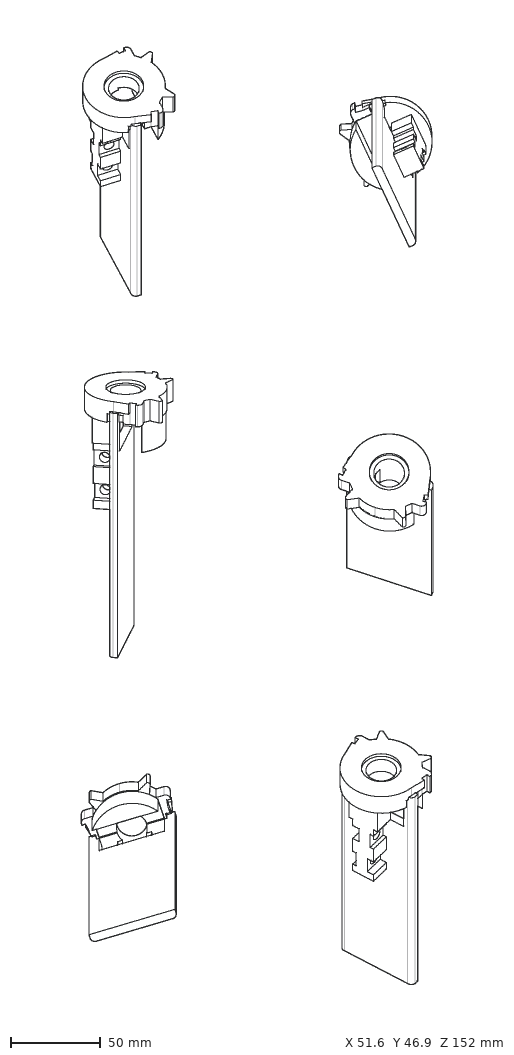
import cadquery as cq
import math

total_height = 152.0
cap_thickness = 12.9
cap_bottom = total_height - cap_thickness
plate_top = 145.9
window_bottom = 121.1
overlap = 1.5

cap_radius = 23.1
cap_front = -23.0
wall_x = 23.1
front_arc_mid_angle = -45.0
front_arc_end_angle = -7.0
lip_tip = (25.1, 6.2)
lip_end_y = 6.7
hook_root = (23.7, 10.6)
hook_x = 25.8
hook_front = 10.3
hook_side_end = 11.5
hook_round_mid = (25.1, 13.0)
hook_back = 13.8
hook_round_end_x = 23.1
shoulder_x = 18.4
ear_outer_root = (15.7, 16.7)
ear_tip_start = (17.8, 22.2)
ear_tip_mid = (17.3, 23.4)
ear_tip_end = (16.3, 23.9)
ear_inner_root = (10.3, 20.7)
rear_arc_mid = (5.3, 22.5)
bore_diameter = 17.0
counterbore_diameter = 22.0
counterbore_depth = 2.0

plate_half_width = 25.1
plate_flat_half_width = 21.7
plate_back = 0.2
plate_front = -4.9
plate_round_start = -2.5
plate_round_mid = (24.0, -4.3)
relief_inner = 20.5
relief_clearance = 1.5
relief_back = 2.9
relief_height = 5.2
underside_recess_depth = 1.7

block_half_width = 9.9
stem_half_width = 7.1
block_front = -17.0
stem_bottom = 81.0
deep_notch = 4.3
shallow_notch = 2.3
notch_height = 10.0
upper_notch_center = 111.1
lower_notch_center = 91.0
bolt_diameter = 6.0
window_half_width = 19.0
leg_half_width = 19.2
leg_front = 12.6
leg_back = 22.5


def box(x_min, x_max, y_min, y_max, z_min, z_max):
    """Return an axis-aligned box between the given limits."""
    size = (x_max - x_min, y_max - y_min, z_max - z_min)
    return cq.Workplane("XY").box(*size, centered=False).translate((x_min, y_min, z_min))


def both_sides(shape):
    """Join a shape with its mirror image across the YZ plane."""
    return shape.union(shape.mirror("YZ"))


def make_cap():
    """Round cap with rear ears, side hooks and lips above the plate edges."""
    arc_center_y = cap_front + cap_radius

    def front_arc_point(angle):
        radians = math.radians(angle)
        return (cap_radius * math.cos(radians), arc_center_y + cap_radius * math.sin(radians))

    flank_start = front_arc_point(front_arc_end_angle)
    half = (
        cq.Workplane("XY", origin=(0, 0, cap_bottom))
        .moveTo(0, plate_back)
        .lineTo(0, cap_front)
        .threePointArc(front_arc_point(front_arc_mid_angle), flank_start)
        .lineTo(*lip_tip)
        .lineTo(wall_x, lip_end_y)
        .lineTo(*hook_root)
        .lineTo(hook_x, hook_front)
        .lineTo(hook_x, hook_side_end)
        .threePointArc(hook_round_mid, (hook_round_end_x, hook_back))
        .lineTo(shoulder_x, hook_back)
        .lineTo(*ear_outer_root)
        .lineTo(*ear_tip_start)
        .threePointArc(ear_tip_mid, ear_tip_end)
        .lineTo(*ear_inner_root)
        .threePointArc(rear_arc_mid, (0, cap_radius))
        .close()
        .extrude(cap_thickness)
    )
    under_lip = box(wall_x, plate_half_width + overlap, flank_start[1], lip_end_y,
                    cap_bottom, plate_top)
    relief = box(relief_inner, plate_half_width + overlap,
                 plate_front - relief_clearance, relief_back,
                 cap_bottom, cap_bottom + relief_height)
    return both_sides(half.cut(under_lip).cut(relief))


def make_plate():
    """Long plate with rounded front edges and a window below the cap."""
    plate = both_sides(
        cq.Workplane("XY")
        .moveTo(0, plate_back)
        .lineTo(plate_half_width, plate_back)
        .lineTo(plate_half_width, plate_round_start)
        .threePointArc(plate_round_mid, (plate_flat_half_width, plate_front))
        .lineTo(0, plate_front)
        .close()
        .extrude(plate_top)
    )
    window = box(-window_half_width, window_half_width, plate_front, plate_back,
                 window_bottom, cap_bottom)
    return plate.cut(window)


def make_block():
    """Block below the cap with staggered side notches and cross bolt holes."""
    block = box(-block_half_width, block_half_width, block_front, plate_front,
                window_bottom, cap_bottom)
    block = block.union(box(-stem_half_width, stem_half_width, block_front, plate_front,
                            stem_bottom, window_bottom))
    hole_y = (block_front + plate_front) / 2
    notches = (
        (upper_notch_center, deep_notch, shallow_notch),
        (lower_notch_center, shallow_notch, deep_notch),
    )
    for center_z, left_depth, right_depth in notches:
        z_min = center_z - notch_height / 2
        z_max = center_z + notch_height / 2
        left = box(-stem_half_width - overlap, -stem_half_width + left_depth,
                   block_front, plate_front, z_min, z_max)
        right = box(stem_half_width - right_depth, stem_half_width + overlap,
                    block_front, plate_front, z_min, z_max)
        hole = (
            cq.Workplane("YZ", origin=(0, hole_y, center_z))
            .circle(bolt_diameter / 2)
            .extrude(stem_half_width, both=True)
        )
        block = block.cut(left).cut(right).cut(hole)
    return block


def make_leg():
    """Circular-segment leg hanging from the rear of the cap."""
    return (
        cq.Workplane("XY", origin=(0, 0, window_bottom))
        .moveTo(-leg_half_width, leg_front)
        .threePointArc((0, leg_back), (leg_half_width, leg_front))
        .close()
        .extrude(plate_top - window_bottom)
    )


bore = (
    cq.Workplane("XY", origin=(0, 0, window_bottom))
    .circle(bore_diameter / 2)
    .extrude(total_height - window_bottom)
)
counterbore = (
    cq.Workplane("XY", origin=(0, 0, total_height - counterbore_depth))
    .circle(counterbore_diameter / 2)
    .extrude(counterbore_depth)
)

result = make_cap().union(make_plate()).union(make_block()).union(make_leg())
underside_recess = box(-window_half_width, window_half_width, plate_back, leg_front,
                       cap_bottom, cap_bottom + underside_recess_depth)
result = result.cut(underside_recess).cut(bore).cut(counterbore)